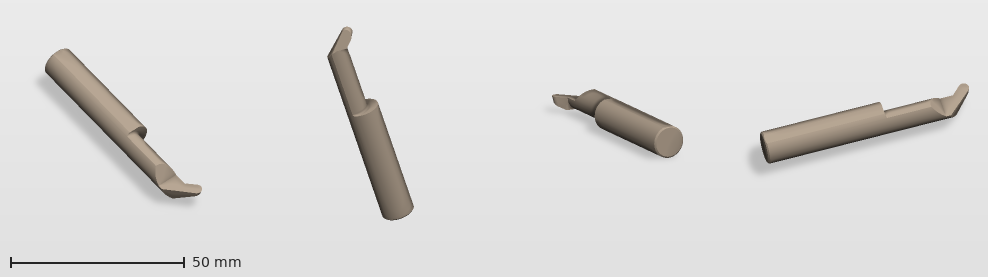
import cadquery as cq
import math

total_length = 62.5
shank_radius = 4.75
shank_length = 35.8
shank_flat_z = 4.5
end_chamfer = 0.45

neck_radius = 3.9
neck_center_y = -2.25
neck_fillet = 0.55

face_start_x = 53.3

finger_start_x = 57.5
finger_length = 9.4
rear_flank_angle = 45.0
front_flank_angle = 43.0
tip_radius = 1.55
tip_center_x = total_length - tip_radius
tip_center_y = 3.1
tip_relief_angle = 16.0
underside_start_x = 57.15
underside_angle = 27.0

tip_center = cq.Vector(tip_center_x, tip_center_y, 0)


def direction(angle):
    """Unit vector in the XY plane at an angle from X."""
    return cq.Vector(math.cos(math.radians(angle)), math.sin(math.radians(angle)), 0)


def side_direction(angle):
    return direction(angle + 90)


def shank_cylinder(length):
    return cq.Workplane("YZ").circle(shank_radius).extrude(length)


def make_shank():
    shank = shank_cylinder(shank_length).faces("<X").chamfer(end_chamfer)
    keep = cq.Workplane("XY", origin=(shank_length / 2, 0, shank_flat_z - shank_radius))
    return shank.intersect(keep.box(shank_length, 2 * shank_radius, 2 * shank_radius))


def neck_profile(radius, start_x, length):
    """Round on the +Y side, with tangent flats running toward -Y."""
    return (
        cq.Workplane("YZ", origin=(start_x, 0, 0))
        .moveTo(-shank_radius, -radius)
        .lineTo(neck_center_y, -radius)
        .threePointArc((neck_center_y + radius, 0), (neck_center_y, radius))
        .lineTo(-shank_radius, radius)
        .close()
        .extrude(length)
    )


def make_neck():
    neck = neck_profile(neck_radius, shank_length, finger_start_x - shank_length)
    return neck.union(make_neck_fillet()).intersect(shank_cylinder(total_length))


def make_neck_fillet():
    """Concave round between the neck and the shank's end face."""
    def section(y):
        center = (shank_length + neck_fillet, neck_radius + neck_fillet)
        reach = neck_fillet * math.sqrt(0.5)
        return (
            cq.Workplane("XZ", origin=(0, y, 0))
            .moveTo(shank_length, 0)
            .lineTo(shank_length, center[1])
            .threePointArc((center[0] - reach, center[1] - reach), (center[0], neck_radius))
            .lineTo(center[0], 0)
            .close()
        )

    round_part = section(neck_center_y).revolve(360, (0, 0), (1, 0))
    flat_part = section(neck_center_y).extrude(shank_radius + neck_center_y)
    return round_part.union(flat_part).union(flat_part.mirror("XY"))


def make_finger():
    """Slanted extrusion whose tip recedes downward."""
    rear_tangent = tip_center + side_direction(rear_flank_angle) * tip_radius
    front_tangent = tip_center - side_direction(front_flank_angle) * tip_radius
    rear_root = rear_tangent - direction(rear_flank_angle) * finger_length
    front_root = front_tangent - direction(front_flank_angle) * finger_length
    tip_point = tip_center + direction(front_flank_angle) * tip_radius
    outline = (
        cq.Workplane("XY")
        .moveTo(rear_root.x, rear_root.y)
        .lineTo(rear_tangent.x, rear_tangent.y)
        .threePointArc((tip_point.x, tip_point.y), (front_tangent.x, front_tangent.y))
        .lineTo(front_root.x, front_root.y)
        .close()
    )
    setback = shank_radius * math.tan(math.radians(tip_relief_angle))
    path = direction(front_flank_angle) * -setback + cq.Vector(0, 0, -shank_radius)
    finger = cq.Workplane(obj=cq.Solid.extrudeLinear(outline.val(), [], path))
    keep = cq.Workplane("XY", origin=(finger_start_x, 0, 0)).box(
        total_length, 4 * shank_radius, 4 * shank_radius, centered=(False, True, True)
    )
    return finger.intersect(keep)


def cut_profile(points):
    """Prism across the full width, from an outline in X and Z."""
    return cq.Workplane("XZ").polyline(points).close().extrude(2 * shank_radius, both=True)


def face_relief():
    slope_top_x = face_start_x - shank_radius
    return cut_profile([
        (face_start_x, 0),
        (slope_top_x, shank_radius),
        (total_length, shank_radius),
        (total_length, 0),
    ])


def underside_relief():
    run = total_length - underside_start_x
    rise = run * math.tan(math.radians(underside_angle))
    return cut_profile([
        (underside_start_x, -neck_radius),
        (total_length, rise - neck_radius),
        (total_length, -2 * shank_radius),
        (underside_start_x, -2 * shank_radius),
    ])


def flank_relief():
    """Removes the neck corner beyond the finger's front flank."""
    tip_end = tip_center - side_direction(front_flank_angle) * tip_radius
    flank_run = (tip_end.y + shank_radius) / math.tan(math.radians(front_flank_angle))
    return (
        cq.Workplane("XY", origin=(0, 0, -shank_radius))
        .polyline([
            (tip_end.x - flank_run, -shank_radius),
            (tip_end.x, tip_end.y),
            (tip_end.x, -shank_radius),
        ])
        .close()
        .extrude(2 * shank_radius)
    )


neck = make_neck().cut(face_relief()).cut(flank_relief())
tool_end = neck.union(make_finger()).cut(underside_relief())
result = make_shank().union(tool_end)